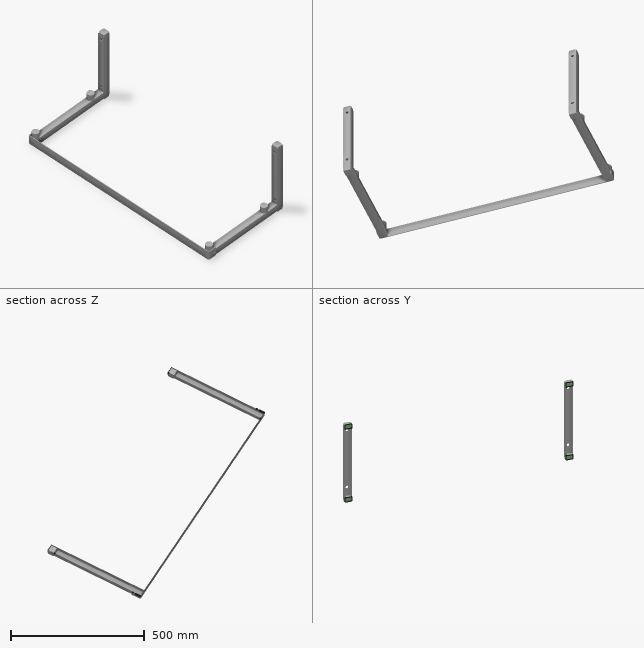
import cadquery as cq

width = 935.0
depth = 404.0
height = 325.0

tube = 30.0
wall = 3.0

strap_thickness = 3.0
strap_height = 40.0
strap_leg = 38.0
strap_bend_radius = 6.0
strap_screw_hole = 11.0
arm_screw_hole = 7.0
strap_screw_setback = 8.0

plug_head = 6.0
plug_length = 20.0
plug_corner_radius = 6.0

bolt_hole = 11.0
bolt_heights = (55.0, 294.5)

post_top = 63.0
post_diameter = 30.0
front_post_y = 21.0
rear_post_y = 317.0

bracket_x = width / 2 - strap_thickness - tube / 2
upright_front = depth - tube
arm_bottom = plug_head
arm_top = arm_bottom + tube
bore = tube - 2 * wall


def block(size_x, size_y, size_z, center_x, front_y, bottom_z):
    """Box centred in X, placed by its front face and its bottom."""
    box = cq.Workplane("XY").box(size_x, size_y, size_z, centered=(True, False, False))
    return box.translate((center_x, front_y, bottom_z))


def upright(x):
    """Upright tube with a rounded plug head at each end and a hollow bore."""
    tube_length = height - 2 * plug_head
    body = block(tube, tube, tube_length, x, upright_front, plug_head)
    core = block(tube, tube, height, x, upright_front, 0).edges("|Z").fillet(plug_corner_radius)
    cavity = block(bore, bore, height - 2 * plug_length, x, upright_front + wall, plug_length)
    return body.union(core).cut(cavity)


def bolt_holes(x):
    """Cutters for the front-to-back bolt holes of one upright."""
    points = [(x, z) for z in bolt_heights]
    return cq.Workplane("XZ").pushPoints(points).circle(bolt_hole / 2).extrude(-depth)


def arm(x):
    """Hollow arm running from the strap to the front face of the upright."""
    length = upright_front - strap_thickness
    body = block(tube, length, tube, x, strap_thickness, arm_bottom)
    cavity = block(bore, length, bore, x, strap_thickness, arm_bottom + wall)
    return body.cut(cavity)


def post(x, y):
    """Solid round post standing on top of an arm."""
    base = cq.Workplane("XY").workplane(offset=arm_top).center(x, y)
    return base.circle(post_diameter / 2).extrude(post_top - arm_top)


def strap():
    """Strap with a short leg folded back along the outside of each arm."""
    inner_width = width - 2 * strap_thickness
    inner_radius = strap_bend_radius - strap_thickness
    outer = block(width, strap_leg, strap_height, 0, 0, arm_bottom)
    outer = outer.edges("|Z and <Y").fillet(strap_bend_radius)
    inner = block(inner_width, strap_leg, strap_height, 0, strap_thickness, arm_bottom)
    inner = inner.edges("|Z and <Y").fillet(inner_radius)
    return outer.cut(inner)


def screw_holes(diameter):
    """Cutter across the full width, on the screw axis of the strap legs."""
    y = strap_leg - strap_screw_setback
    z = arm_bottom + strap_height / 2
    axis = cq.Workplane("YZ").center(y, z).circle(diameter / 2)
    return axis.extrude(width / 2, both=True)


result = strap().cut(screw_holes(strap_screw_hole))
for side in (-1, 1):
    x = side * bracket_x
    result = result.union(upright(x).cut(bolt_holes(x)))
    result = result.union(arm(x).cut(screw_holes(arm_screw_hole)))
    for post_y in (front_post_y, rear_post_y):
        result = result.union(post(x, post_y))